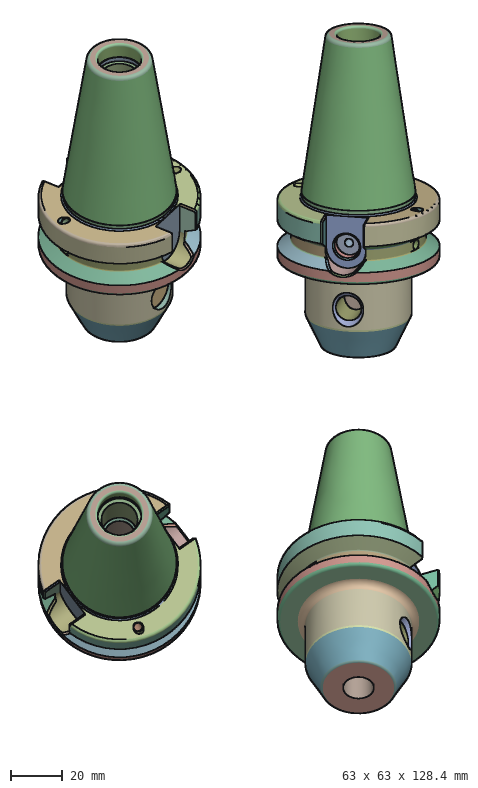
import cadquery as cq
import math

total_height = 128.4
nose_radius = 14.5
body_diameter = 41.5
nose_cone_height = 13.2
flange_bottom = 36.1
flange_top = 61.0
flange_diameter = 63.0
groove_diameter = 52.5
groove_width = 4.6
groove_centre = 46.5
groove_bottom = groove_centre - groove_width / 2
groove_top = groove_centre + groove_width / 2
groove_wall_rise = (flange_diameter - groove_diameter) / 2 * math.tan(math.radians(30))
neck_diameter = 44.2
taper_bottom = 63.3
taper_rate = 7 / 24
taper_large_diameter = 44.4
taper_small_diameter = taper_large_diameter - taper_rate * (total_height - taper_bottom)

nose_rounding = 1.0
cone_rounding = 1.9
body_rounding = 2.8
groove_rounding = 0.5
flange_rounding = 1.2
neck_rounding = 0.6
taper_rounding = 1.5
mouth_rounding = 0.9

tool_bore_diameter = 12.0
thread_bore_diameter = 14.0
thread_bottom = 100.2
pilot_diameter = 17.0
pilot_depth = 8.3
relief_diameter = 17.3
relief_width = 2.0

slot_width = 16.0
slot_floor = 22.6
slot_arc_centre = 47.8
slot_chamfer = 0.6

pocket_diameter = 9.8
pocket_depth = 4.5
pocket_chamfer = 0.6
pocket_height = 48.5
vent_diameter = 3.3

screw_height = 22.0
screw_diameter = 10.1
screw_mouth_diameter = 14.0
balance_diameter = 14.0
balance_depth = 2.6

coolant_angle = 20
coolant_entry_radius = 26.8
coolant_tilt = 35
coolant_mouth_diameter = 4.0
coolant_mouth_depth = 1.5
coolant_diameter = 3.3
coolant_feed_diameter = 2.8

clearance = 1.3


def round_edges(solid, diameter, height, rounding):
    """Fillet the circular edges that have the given diameter and height."""
    def wanted(edge):
        return abs(edge.radius() - diameter / 2) < 0.01 and abs(edge.Center().z - height) < 0.01

    return solid.newObject(solid.edges("%CIRCLE").filter(wanted).vals()).fillet(rounding)


def rod(start, direction, diameter, length):
    """Cylinder that begins at a point and runs along a direction."""
    cylinder = cq.Solid.makeCylinder(diameter / 2, length, cq.Vector(*start), cq.Vector(*direction))
    return cq.Workplane(cylinder)


def countersink(centre, radius):
    """90 degree cone with the given radius at its centre, pointing along +X."""
    return cq.Workplane(cq.Solid.makeCone(
        radius + clearance,
        0,
        radius + clearance,
        cq.Vector(centre[0] - clearance, centre[1], centre[2]),
        cq.Vector(1, 0, 0),
    ))


def make_outside():
    flange_radius = flange_diameter / 2
    outline = [
        (0, 0),
        (nose_radius, 0),
        (body_diameter / 2, nose_cone_height),
        (body_diameter / 2, flange_bottom),
        (flange_radius, flange_bottom),
        (flange_radius, groove_bottom - groove_wall_rise),
        (groove_diameter / 2, groove_bottom),
        (groove_diameter / 2, groove_top),
        (flange_radius, groove_top + groove_wall_rise),
        (flange_radius, flange_top),
        (neck_diameter / 2, flange_top),
        (neck_diameter / 2, taper_bottom),
        (taper_large_diameter / 2, taper_bottom),
        (taper_small_diameter / 2, total_height),
        (0, total_height),
    ]
    outside = cq.Workplane("XZ").polyline(outline).close().revolve(360, (0, 0), (0, 1))
    outside = round_edges(outside, 2 * nose_radius, 0, nose_rounding)
    outside = round_edges(outside, body_diameter, nose_cone_height, cone_rounding)
    outside = round_edges(outside, body_diameter, flange_bottom, body_rounding)
    outside = round_edges(outside, flange_diameter, flange_bottom, flange_rounding)
    outside = round_edges(outside, flange_diameter, flange_top, flange_rounding)
    outside = round_edges(outside, neck_diameter, flange_top, neck_rounding)
    return round_edges(outside, taper_small_diameter, total_height, taper_rounding)


def make_bore():
    pilot_bottom = total_height - pilot_depth
    thread_cone = (thread_bore_diameter - tool_bore_diameter) / 2
    outline = [
        (0, 0),
        (tool_bore_diameter / 2, 0),
        (tool_bore_diameter / 2, thread_bottom - thread_cone),
        (thread_bore_diameter / 2, thread_bottom),
        (thread_bore_diameter / 2, pilot_bottom),
        (relief_diameter / 2, pilot_bottom),
        (relief_diameter / 2, pilot_bottom + relief_width),
        (pilot_diameter / 2, pilot_bottom + relief_width),
        (pilot_diameter / 2, total_height),
        (0, total_height),
    ]
    return cq.Workplane("XZ").polyline(outline).close().revolve(360, (0, 0), (0, 1))


def slot_cutter(side):
    """Round-bottomed slot, open upwards and outwards; side is -1 or +1 along X."""
    outline = (
        cq.Workplane("YZ", origin=(side * slot_floor, 0, 0))
        .moveTo(-slot_width / 2, flange_top + clearance)
        .lineTo(-slot_width / 2, slot_arc_centre)
        .threePointArc((0, slot_arc_centre - slot_width / 2), (slot_width / 2, slot_arc_centre))
        .lineTo(slot_width / 2, flange_top + clearance)
        .close()
    )
    return outline.extrude(side * flange_diameter / 2)


def slot_rim(edge):
    """True for the slot edges on the flange faces outside the V-groove and on its lower wall."""
    box = edge.BoundingBox()
    middle = edge.positionAt(0.5)
    in_groove = groove_bottom < middle.z < groove_top + groove_wall_rise
    below_arc_centre = max(0, slot_arc_centre - middle.z)
    distance = math.hypot(middle.y, below_arc_centre)
    on_wall = abs(distance - slot_width / 2) < 0.01
    beyond_floor = max(abs(box.xmin), abs(box.xmax)) > slot_floor + 0.1
    return on_wall and beyond_floor and not in_groove


def make_screw_hole():
    """Countersunk clamping screw hole that opens into the tool bore from the -X side."""
    hole = rod((0, 0, screw_height), (-1, 0, 0), screw_diameter, flange_diameter / 2)
    mouth_radius = screw_mouth_diameter / 2
    outer_x = -body_diameter / 2
    return hole.union(countersink((outer_x, 0, screw_height), mouth_radius))


def make_balance_recess():
    start_x = body_diameter / 2 - balance_depth
    return rod((start_x, 0, screw_height), (1, 0, 0), balance_diameter, 2 * balance_depth)


def make_chip_pocket():
    """Pocket with a chamfered mouth in the -X slot floor, and a vent from it to the axis."""
    pocket = rod((pocket_depth - slot_floor, 0, pocket_height), (-1, 0, 0), pocket_diameter, pocket_depth)
    mouth_radius = pocket_diameter / 2 + pocket_chamfer
    mouth = countersink((-slot_floor, 0, pocket_height), mouth_radius)
    vent = rod((0, 0, pocket_height), (-1, 0, 0), vent_diameter, slot_floor)
    return pocket.union(mouth).union(vent)


def make_coolant_channel():
    """Channel on the -Y side, built in the YZ plane and then turned about the axis."""
    tilt = math.radians(coolant_tilt)
    down = (0, math.sin(tilt), -math.cos(tilt))
    entry = (0, -coolant_entry_radius, flange_top)
    above = tuple(point - clearance * step for point, step in zip(entry, down))
    drop = flange_top - groove_centre
    meeting_radius = coolant_entry_radius - drop * math.tan(tilt)
    inclined = rod(entry, down, coolant_diameter, drop / math.cos(tilt))
    mouth = rod(above, down, coolant_mouth_diameter, clearance + coolant_mouth_depth)
    radial = rod((0, -meeting_radius, groove_centre), (0, -1, 0), coolant_mouth_diameter,
                 flange_diameter / 2 - meeting_radius)
    feed = rod((0, 0, groove_centre), (0, -1, 0), coolant_feed_diameter, meeting_radius)
    channel = inclined.union(mouth).union(radial).union(feed)
    return channel.rotate((0, 0, 0), (0, 0, 1), -coolant_angle)


part = make_outside().cut(make_bore())
part = round_edges(part, pilot_diameter, total_height, mouth_rounding)
for side in (-1, 1):
    part = part.cut(slot_cutter(side))
part = part.newObject(part.edges().filter(slot_rim).vals()).chamfer(slot_chamfer)
for height in (groove_bottom, groove_top):
    part = round_edges(part, groove_diameter, height, groove_rounding)

part = part.cut(make_screw_hole()).cut(make_balance_recess()).cut(make_chip_pocket())
channel = make_coolant_channel()
for turn in (0, 180):
    part = part.cut(channel.rotate((0, 0, 0), (0, 0, 1), turn))

result = part